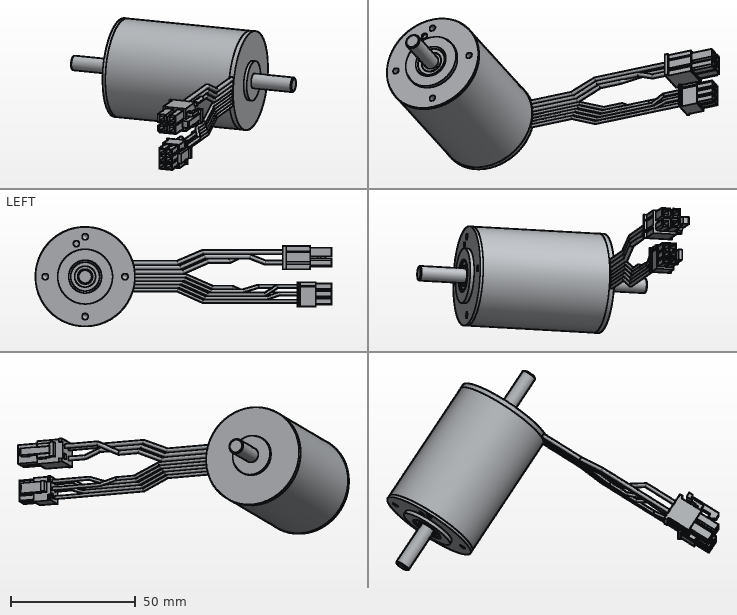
import cadquery as cq
import math


motor_length = 56.0
cap_radius = 20.0
front_cap = 1.25
rear_cap = 2.0
can_radius = cap_radius - 0.05
pilot_radius = 11.0
pilot_height = 1.6
rear_boss_radius = 8.0
rear_boss_height = 1.3

seat_mouth_radius = 6.6
seat_radius = 5.8
seat_mouth_depth = 0.3
seat_depth = 0.5
clearance_radius = 4.2
clearance_depth = 0.8

mount_hole_count = 4
mount_circle_radius = 16.0
mount_hole_diameter = 2.5
mount_hole_depth = 5.0
drill_point_angle = 118.0
locating_hole_diameter = 2.4
locating_hole_depth = 1.0
locating_hole_y = 3.5
locating_hole_z = 13.2

shaft_radius = 3.0
shaft_front = -20.0
shaft_rear = 74.5
shaft_chamfer = 0.4

wire_gap = 0.04
power_pitch = 1.8
signal_pitch = 1.4
power_wire_radius = (power_pitch - wire_gap) / 2
signal_wire_radius = (signal_pitch - wire_gap) / 2
ribbon_top = 6.4
power_wire_count = 3
ribbon_split = ribbon_top - power_wire_count * power_pitch
wire_x = motor_length - rear_cap / 2
wire_root_y = -17.5
power_rise = 4.35
signal_drop = 4.6

plug_front_y = -98.9
power_cell = 4.2
power_top_row = ribbon_top - power_pitch / 2 + power_rise
power_rows = [power_top_row, power_top_row - power_cell]
power_columns = [wire_x, wire_x + power_cell]
signal_cell = 3.0
signal_wire_count = 5
signal_bottom_row = ribbon_split - signal_pitch * (signal_wire_count - 0.5) - signal_drop
signal_rows = [signal_bottom_row + signal_cell * i for i in (2, 1, 0)]
signal_columns = [wire_x, wire_x + signal_cell]
wire_tail = 1.0


def box(x_range, y_range, z_range):
    """Box from (low, high) pairs; each pair may come in either order."""
    spans = [sorted(r) for r in (x_range, y_range, z_range)]
    size = [high - low for low, high in spans]
    return cq.Workplane("XY").box(*size, centered=False).translate(tuple(low for low, _ in spans))


def disc(radius, x_start, x_end):
    """Solid cylinder on the motor axis."""
    return cq.Workplane("YZ").workplane(offset=x_start).circle(radius).extrude(x_end - x_start)


def drilled_hole(y, z):
    """Blind hole with a drill point, entering the front face."""
    radius = mount_hole_diameter / 2
    tip = mount_hole_depth + radius / math.tan(math.radians(drill_point_angle / 2))
    outline = [(0, 0), (0, radius), (mount_hole_depth, radius), (tip, 0)]
    return cq.Workplane("XY").polyline(outline).close().revolve(360, (0, 0), (1, 0)).translate((0, y, z))


def motor_can():
    can = disc(can_radius, front_cap, motor_length - rear_cap)
    can = can.union(disc(cap_radius, 0, front_cap))
    can = can.union(disc(cap_radius, motor_length - rear_cap, motor_length))
    can = can.union(disc(pilot_radius, -pilot_height, 0))
    can = can.union(disc(rear_boss_radius, motor_length, motor_length + rear_boss_height))
    for i in range(mount_hole_count):
        angle = 2 * math.pi * i / mount_hole_count
        hole_y = mount_circle_radius * math.cos(angle)
        hole_z = mount_circle_radius * math.sin(angle)
        can = can.cut(drilled_hole(hole_y, hole_z))
    locating_hole = disc(locating_hole_diameter / 2, 0, locating_hole_depth)
    return can.cut(locating_hole.translate((0, locating_hole_y, locating_hole_z)))


def shaft_passage():
    """Stepped bearing seat at the front, then a close bore right through."""
    face = -pilot_height
    outline = [
        (face, 0),
        (face, seat_mouth_radius),
        (face + seat_mouth_depth, seat_radius),
        (face + seat_depth, seat_radius),
        (face + seat_depth, clearance_radius),
        (face + clearance_depth, clearance_radius),
        (face + clearance_depth, shaft_radius),
        (motor_length + rear_boss_height, shaft_radius),
        (motor_length + rear_boss_height, 0),
    ]
    return cq.Workplane("XY").polyline(outline).close().revolve(360, (0, 0), (1, 0))


def wire(radius, points):
    """Round wire along a bent line: straight lengths with a ball at each corner."""
    corners = [cq.Vector(*point) for point in points]
    strand = None
    for start, end in zip(corners, corners[1:]):
        length = cq.Workplane(cq.Solid.makeCylinder(radius, (end - start).Length, start, end - start))
        strand = length if strand is None else strand.union(length)
    for corner in corners[1:-1]:
        strand = strand.union(cq.Workplane("XY").sphere(radius).translate(corner))
    return strand


def wire_points(root_z, rise, fan_start_y, fan_end_y, jog, end_y):
    """Corners of a wire: out of the motor, fan out, then an optional jog to its plug cell.

    A jog is (start y, end y, cell x, cell z).
    """
    fanned_z = root_z + rise
    points = [(wire_x, wire_root_y, root_z), (wire_x, fan_start_y, root_z), (wire_x, fan_end_y, fanned_z)]
    if jog is None:
        return points + [(wire_x, end_y, fanned_z)]
    jog_start_y, jog_end_y, cell_x, cell_z = jog
    points.append((wire_x, jog_start_y, fanned_z))
    points.append((cell_x, jog_end_y, cell_z))
    points.append((cell_x, end_y, cell_z))
    return points


def plug_cell(x, z, size, hole, y_back, y_start, chamfer):
    """Square terminal tube in front of y_start and its cavity, reaching back to y_back."""
    tube = box((x - size / 2, x + size / 2), (y_start, plug_front_y), (z - size / 2, z + size / 2))
    if chamfer:
        tube = tube.edges("|Y and <X").chamfer(chamfer)
    cavity = box((x - hole / 2, x + hole / 2), (y_back, plug_front_y), (z - hole / 2, z + hole / 2))
    return tube, cavity


def prism_along_z(outline, z_range):
    low, high = sorted(z_range)
    return cq.Workplane("XY").workplane(offset=low).polyline(outline).close().extrude(high - low)


power_back_y = -79.2
power_flange = 1.4
power_body_front_y = -90.2
power_mid_x = sum(power_columns) / 2
power_body_drop = 0.15
power_mid_z = sum(power_rows) / 2 - power_body_drop
power_body_width = 9.6
power_height = 9.4
power_flange_width = 11.7
power_notch = 6.9
power_tube = 3.5
power_hole = 2.0
power_tube_chamfer = 0.75
power_floor = 1.5
power_rib_height = 0.4
power_keyed_cells = [(0, 1), (1, 0)]
power_empty_cell = (1, 1)
power_ribs = [(9.7, 10.1), (5.0, 6.0)]
power_latch_width = 5.7
power_finger_width = 2.8


def power_latch(body_side):
    """Side latch: two root legs, a hooked middle finger and a thumb pad."""
    leg_inner = 63.35
    leg_outer = 64.65
    finger_outer = 65.5
    pad_y = (-81.7, -83.5)
    pad_x = (63.9, 65.9)
    leg_back_y = -84.4
    root_y = (-86.4, -89.35)
    window_x = (62.3, 63.0)
    window_y = (-86.8, -87.8)
    hook_root_y = -93.3
    tip_y = -96.4
    hook_x = 62.0
    hook_point_y = -94.5
    tip_inner = 62.9
    tip_outer = 65.1
    leg_outline = [
        (body_side, root_y[0]),
        (leg_inner, root_y[0]),
        (leg_inner, leg_back_y),
        (pad_x[0], leg_back_y),
        (pad_x[0], pad_y[1]),
        (leg_outer, pad_y[1]),
        (leg_outer, root_y[1]),
        (body_side, root_y[1]),
    ]
    finger_outline = [
        (pad_x[0], pad_y[1]),
        (finger_outer, pad_y[1]),
        (finger_outer, tip_y + finger_outer - tip_outer),
        (tip_outer, tip_y),
        (tip_inner, tip_y),
        (hook_x, hook_point_y),
        (hook_x, hook_root_y),
        (leg_inner, hook_root_y),
        (leg_inner, leg_back_y),
        (pad_x[0], leg_back_y),
    ]
    half = power_latch_width / 2
    half_finger = power_finger_width / 2
    latch = prism_along_z(finger_outline, (power_mid_z - half_finger, power_mid_z + half_finger))
    for side in (-1, 1):
        z_range = (power_mid_z + side * half_finger, power_mid_z + side * half)
        latch = latch.union(prism_along_z(leg_outline, z_range))
    full_z = (power_mid_z - half, power_mid_z + half)
    return latch.union(box(pad_x, pad_y, full_z)).cut(box(window_x, window_y, full_z))


def power_plug():
    half = power_body_width / 2
    body_x = (power_mid_x - half, power_mid_x + half)
    z_range = (power_mid_z - power_height / 2, power_mid_z + power_height / 2)
    half_flange = power_flange_width / 2
    flange_y = (power_back_y, power_back_y - power_flange)
    plug = box(body_x, (power_back_y, power_body_front_y), z_range)
    plug = plug.union(box((power_mid_x - half_flange, power_mid_x + half_flange), flange_y, z_range))
    notch_z = (power_mid_z - power_notch / 2, power_mid_z + power_notch / 2)
    plug = plug.cut(box((body_x[1], power_mid_x + half_flange), flange_y, notch_z))
    rib_x = (body_x[0] - power_rib_height, body_x[0])
    for rib_z in power_ribs:
        plug = plug.union(box(rib_x, (power_back_y, power_body_front_y), rib_z))
    plug = plug.union(power_latch(body_x[1]))
    for column, x in enumerate(power_columns):
        for row, z in enumerate(power_rows):
            empty = (column, row) == power_empty_cell
            cavity_back = power_back_y if empty else power_back_y - power_floor
            chamfer = power_tube_chamfer if (column, row) in power_keyed_cells else 0
            tube, cavity = plug_cell(x, z, power_tube, power_hole, cavity_back, power_body_front_y, chamfer)
            plug = plug.union(tube).cut(cavity)
    return plug


signal_back_y = -85.1
signal_flange = 1.1
signal_body_front_y = -92.5
signal_mid_x = sum(signal_columns) / 2
signal_body_drop = 0.25
signal_mid_z = signal_rows[1] - signal_body_drop
signal_body_width = 7.1
signal_height = 9.8
signal_flange_width = 8.8
signal_flange_chamfer = 0.5
signal_notch = 5.4
signal_tube = 2.6
signal_hole = 1.9
signal_floor = 1.5
signal_empty_cell = (1, 2)
signal_rib_height = 0.3
signal_rib_z = (-4.0, -3.6)
signal_latch_z = (-4.6, -8.75)


def signal_latch(body_side):
    """Side latch: one finger on a short root, with a raised thumb pad."""
    finger_x = (60.9, 62.4)
    pad_outer = 63.2
    pad_y = (-86.6, -88.2)
    root_y = (-89.3, -91.0)
    tip_y = -97.0
    outline = [
        (body_side, root_y[0]),
        (finger_x[0], root_y[0]),
        (finger_x[0], pad_y[0]),
        (pad_outer, pad_y[0]),
        (pad_outer, pad_y[1]),
        (finger_x[1], pad_y[1]),
        (finger_x[1], tip_y),
        (finger_x[0], tip_y),
        (finger_x[0], root_y[1]),
        (body_side, root_y[1]),
    ]
    return prism_along_z(outline, signal_latch_z)


def signal_plug():
    half = signal_body_width / 2
    body_x = (signal_mid_x - half, signal_mid_x + half)
    z_range = (signal_mid_z - signal_height / 2, signal_mid_z + signal_height / 2)
    half_flange = signal_flange_width / 2
    flange_y = (signal_back_y, signal_back_y - signal_flange)
    flange = box((signal_mid_x - half_flange, signal_mid_x + half_flange), flange_y, z_range)
    flange = flange.faces("<Y").edges("|Z").chamfer(signal_flange_chamfer)
    plug = box(body_x, (signal_back_y, signal_body_front_y), z_range).union(flange)
    notch_z = (signal_mid_z - signal_notch / 2, signal_mid_z + signal_notch / 2)
    plug = plug.cut(box((body_x[1], signal_mid_x + half_flange), flange_y, notch_z))
    rib_x = (body_x[0] - signal_rib_height, body_x[0])
    plug = plug.union(box(rib_x, (signal_back_y, signal_body_front_y), signal_rib_z))
    plug = plug.union(signal_latch(body_x[1]))
    web_z = (signal_rows[0] - signal_tube / 2, signal_rows[1] + signal_tube / 2)
    plug = plug.union(box(signal_columns, (signal_body_front_y, plug_front_y), web_z))
    for column, x in enumerate(signal_columns):
        for row, z in enumerate(signal_rows):
            empty = (column, row) == signal_empty_cell
            cavity_back = signal_back_y if empty else signal_back_y - signal_floor
            tube, cavity = plug_cell(x, z, signal_tube, signal_hole, cavity_back, signal_body_front_y, 0)
            plug = plug.union(tube).cut(cavity)
    return plug


power_runs = [
    (-37.0, -47.2, None),
    (-38.2, -48.0, (-66.1, -72.2, power_columns[0], power_rows[1])),
    (-39.3, -49.2, (-57.8, -65.4, power_columns[1], power_rows[0])),
]
signal_runs = [
    (-40.5, -51.0, (-59.0, -64.9, signal_columns[1], signal_rows[1])),
    (-39.9, -50.4, (-63.4, -69.4, signal_columns[1], signal_rows[0])),
    (-38.8, -49.1, (-72.1, -77.2, signal_columns[0], signal_rows[0])),
    (-37.9, -48.0, (-73.1, -78.0, signal_columns[0], signal_rows[1])),
    (-37.0, -47.2, None),
]


def wires():
    power_end = power_back_y - power_floor - wire_tail
    signal_end = signal_back_y - signal_floor - wire_tail
    made = []
    for i, (fan_start, fan_end, jog) in enumerate(power_runs):
        z = ribbon_top - power_pitch * (i + 0.5)
        made.append(wire(power_wire_radius, wire_points(z, power_rise, fan_start, fan_end, jog, power_end)))
    for i, (fan_start, fan_end, jog) in enumerate(signal_runs):
        z = ribbon_split - signal_pitch * (i + 0.5)
        made.append(wire(signal_wire_radius, wire_points(z, -signal_drop, fan_start, fan_end, jog, signal_end)))
    return made


def build_stator():
    """Can with its wiring and both plugs, bored for the shaft."""
    stator = motor_can().cut(shaft_passage())
    stator = stator.union(power_plug()).union(signal_plug())
    for lead in wires():
        stator = stator.union(lead)
    return stator


def build_shaft():
    return disc(shaft_radius, shaft_front, shaft_rear).faces("<X or >X").chamfer(shaft_chamfer)


stator = build_stator()
shaft = build_shaft()

result = cq.Compound.makeCompound([*stator.solids().vals(), *shaft.vals()])